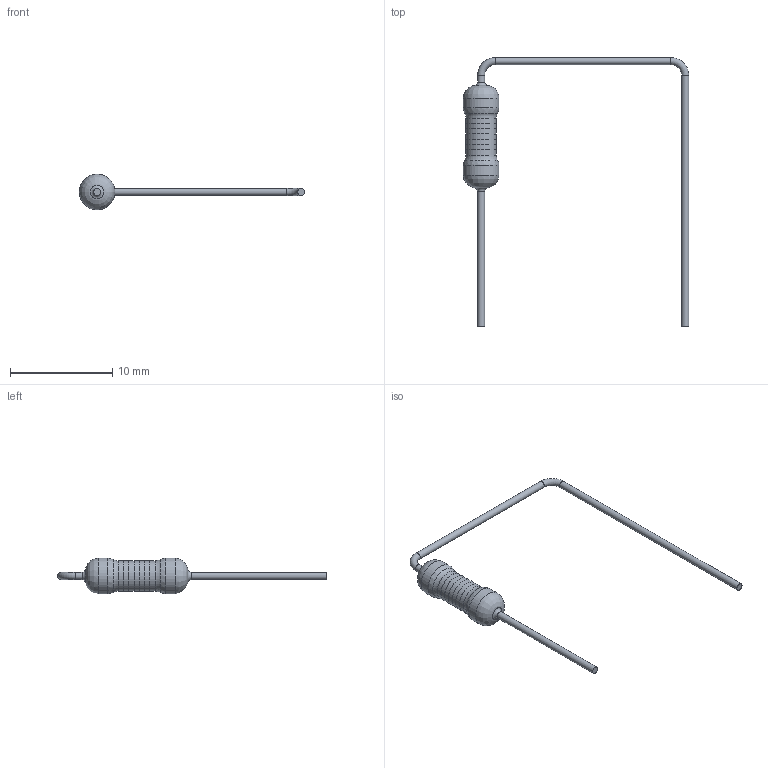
import cadquery as cq
import math

wire_diameter = 0.7
lead_spacing = 20.0
lead_reach = 26.0
bend_radius = 1.4

body_center_y = 18.6
body_length = 10.05
cap_diameter = 3.5
cap_round_radius = 1.25
cap_band_length = 0.95
collar_start = 5.35

waist_diameter = 2.98
band_diameter = 3.0
band_count = 4
band_pitch = 1.03

wire_radius = wire_diameter / 2
cap_radius = cap_diameter / 2
waist_radius = waist_diameter / 2
band_radius = band_diameter / 2
band_width = band_pitch / 2
band_row_half = (2 * band_count - 1) * band_width / 2


def make_wire():
    """Round wire swept along a U with two rounded corners."""
    corner_shift = bend_radius * (1 - math.cos(math.pi / 4))
    straight_end = lead_reach - bend_radius
    path = (
        cq.Workplane("XY")
        .lineTo(0, straight_end)
        .threePointArc((corner_shift, lead_reach - corner_shift), (bend_radius, lead_reach))
        .lineTo(lead_spacing - bend_radius, lead_reach)
        .threePointArc(
            (lead_spacing - corner_shift, lead_reach - corner_shift),
            (lead_spacing, straight_end),
        )
        .lineTo(lead_spacing, 0)
    )
    return cq.Workplane("XZ").circle(wire_radius).sweep(path)


def collar_tangent_point():
    """Radius and axial position where the concave collar touches the cap rounding."""
    round_center_r = cap_radius - cap_round_radius
    round_center_y = body_length / 2 - cap_round_radius
    axial_gap = collar_start - round_center_y
    offset = wire_radius - round_center_r
    excess = offset**2 + axial_gap**2 - cap_round_radius**2
    collar_radius = excess / (2 * (cap_round_radius - offset))
    share = cap_round_radius / (cap_round_radius + collar_radius)
    touch_r = round_center_r + (offset + collar_radius) * share
    touch_y = round_center_y + axial_gap * share
    return touch_r, touch_y


def make_half_body():
    """Plain half of the body on the +Y side of its center plane."""
    cap_outer_y = body_length / 2 - cap_round_radius
    cap_inner_y = cap_outer_y - cap_band_length
    shoulder_r = (cap_radius + waist_radius) / 2
    shoulder_y = (cap_inner_y + band_row_half) / 2
    profile = (
        cq.Workplane("XY")
        .lineTo(waist_radius, 0)
        .lineTo(waist_radius, band_row_half)
        .tangentArcPoint((shoulder_r, shoulder_y), relative=False)
        .tangentArcPoint((cap_radius, cap_inner_y), relative=False)
        .lineTo(cap_radius, cap_outer_y)
        .tangentArcPoint(collar_tangent_point(), relative=False)
        .tangentArcPoint((wire_radius, collar_start), relative=False)
        .lineTo(0, collar_start)
        .close()
    )
    return profile.revolve(360, (0, 0, 0), (0, 1, 0))


def make_band(center_y):
    """Disc through the waist whose rim stands proud as one colour band."""
    return (
        cq.Workplane("XZ", origin=(0, center_y + band_width / 2, 0))
        .circle(band_radius)
        .extrude(band_width)
    )


def make_body():
    """Whole body with its colour bands, centered on the origin along Y."""
    half = make_half_body()
    body = half.union(half.mirror("XZ"))
    for index in range(band_count):
        body = body.union(make_band((index - (band_count - 1) / 2) * band_pitch))
    return body


result = make_wire().union(make_body().translate((0, body_center_y, 0)))